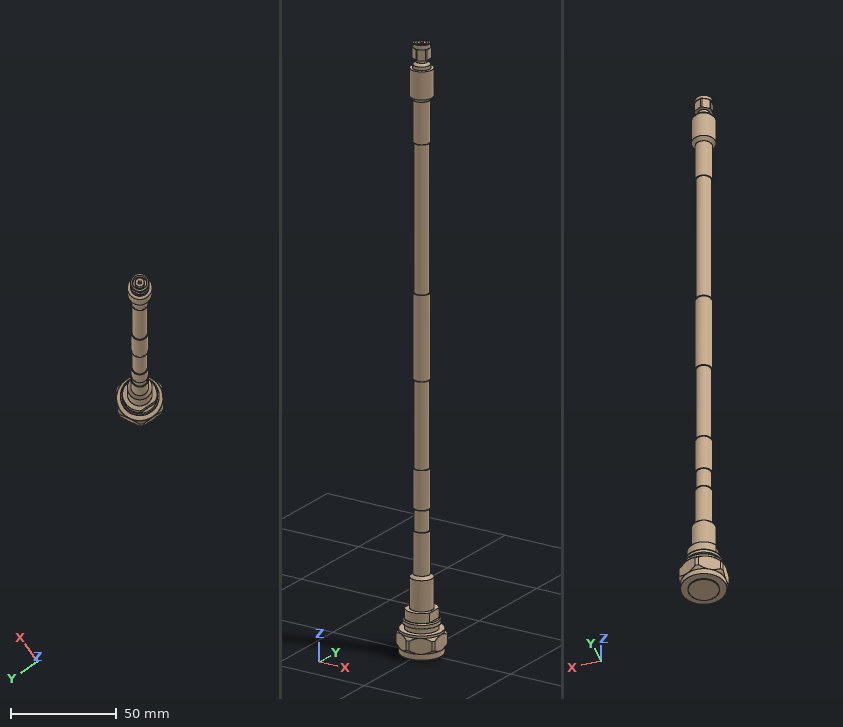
import cadquery as cq
import math

total_length = 309.5
ferrule_radius = 8.5 / 2

cable_radius = 3.7
cable_bottom = 62.5
cable_top = 259.0

sleeve_radius = 8.5 / 2
short_sleeve_bottom = 73.5
short_sleeve_top = 94.0
long_sleeve_bottom = 139.0
long_sleeve_top = 182.8

barrel_radius = 6.0
barrel_bottom = 23.2
barrel_top = 39.0
barrel_chamfer_top = 40.5

wrench_across_flats = 14.2
wrench_bottom = 18.3
flange_radius = 18.3 / 2
flange_bottom = 15.8
flange_chamfer = 0.5
collar_radius = 16.5 / 2

nut_across_flats = 22.0
nut_rim_radius = nut_across_flats / 2
nut_corner_radius = 24.5 / 2
nut_bottom = 0.5
nut_top = 13.0
nut_corner_bottom = 5.3
nut_corner_top = 10.2
nut_corner_chamfer = 1.5
spigot_radius = 7.5

upper_barrel_cone_bottom = 280.5
upper_barrel_bottom = 282.5
upper_barrel_top = 296.7
shoulder_radius = 4.3
shoulder_top = 298.5
shoulder_cone_top = 299.8
neck_radius = 2.8

head_across_flats = 8.5
head_corner_radius = 4.5
head_bottom = 301.5
cap_bottom = 307.2
cap_radius = 4.3
socket_radius = 3.5
socket_depth = 4.5
contact_radius = 2.2
contact_bore_radius = 0.77


def cylinder(radius, bottom, top):
    return cq.Workplane("XY").workplane(offset=bottom).circle(radius).extrude(top - bottom)


def hexagon(across_flats, bottom, top):
    """Hexagonal prism with flats facing +X and -X and corners on the Y axis."""
    corner_diameter = across_flats / math.cos(math.pi / 6)
    prism = cq.Workplane("XY").polygon(6, corner_diameter).extrude(top - bottom)
    return prism.rotate((0, 0, 0), (0, 0, 1), 30).translate((0, 0, bottom))


def turned(profile):
    """Solid of revolution about Z from (radius, height) points, closed along the axis."""
    closed = [(0, profile[0][1])] + profile + [(0, profile[-1][1])]
    return cq.Workplane("XZ").polyline(closed).close().revolve(360, (0, 0, 0), (0, 1, 0))


def cable_sleeve(bottom, top):
    return cylinder(sleeve_radius, bottom, top).cut(cylinder(cable_radius, bottom, top))


def wrench_flats():
    """Round collar with two parallel flats facing +X and -X."""
    height = barrel_bottom - wrench_bottom
    slab = cq.Workplane("XY").workplane(offset=wrench_bottom)
    slab = slab.rect(wrench_across_flats, 2 * collar_radius).extrude(height)
    return cylinder(collar_radius, wrench_bottom, barrel_bottom).intersect(slab)


def coupling_nut():
    envelope = turned([
        (nut_rim_radius, nut_bottom),
        (nut_rim_radius, nut_corner_bottom - nut_corner_chamfer),
        (nut_corner_radius, nut_corner_bottom),
        (nut_corner_radius, nut_corner_top),
        (nut_rim_radius, nut_corner_top + nut_corner_chamfer),
        (nut_rim_radius, nut_top),
    ])
    return hexagon(nut_across_flats, nut_bottom, nut_top).intersect(envelope)


def lower_connector():
    stem = turned([
        (spigot_radius, 0),
        (spigot_radius, nut_top),
        (collar_radius, nut_top),
        (collar_radius, flange_bottom),
        (flange_radius, flange_bottom),
        (flange_radius, wrench_bottom - flange_chamfer),
        (flange_radius - flange_chamfer, wrench_bottom),
        (barrel_radius, wrench_bottom),
        (barrel_radius, barrel_top),
        (ferrule_radius, barrel_chamfer_top),
        (ferrule_radius, cable_bottom),
    ])
    return stem.union(wrench_flats()).union(coupling_nut())


def upper_connector():
    stem = turned([
        (ferrule_radius, cable_top),
        (ferrule_radius, upper_barrel_cone_bottom),
        (barrel_radius, upper_barrel_bottom),
        (barrel_radius, upper_barrel_top),
        (shoulder_radius, upper_barrel_top),
        (shoulder_radius, shoulder_top),
        (neck_radius, shoulder_cone_top),
        (neck_radius, head_bottom),
    ])
    head = hexagon(head_across_flats, head_bottom, cap_bottom)
    head = head.intersect(cylinder(head_corner_radius, head_bottom, cap_bottom))
    cap = cylinder(cap_radius, cap_bottom, total_length)
    socket_floor = total_length - socket_depth
    socket = cylinder(socket_radius, socket_floor, total_length)
    contact_bore = cylinder(contact_bore_radius, socket_floor, total_length)
    contact = cylinder(contact_radius, socket_floor, total_length).cut(contact_bore)
    return stem.union(head).union(cap).cut(socket.cut(contact))


cable = cylinder(cable_radius, cable_bottom, cable_top)
sleeve_spans = [
    (short_sleeve_bottom, short_sleeve_top),
    (long_sleeve_bottom, long_sleeve_top),
]
sleeves = [cable_sleeve(bottom, top) for bottom, top in sleeve_spans]
bottom_end = lower_connector()
top_end = upper_connector()

result = cq.Compound.makeCompound([
    cable.val(),
    *[sleeve.val() for sleeve in sleeves],
    bottom_end.val(),
    top_end.val(),
])